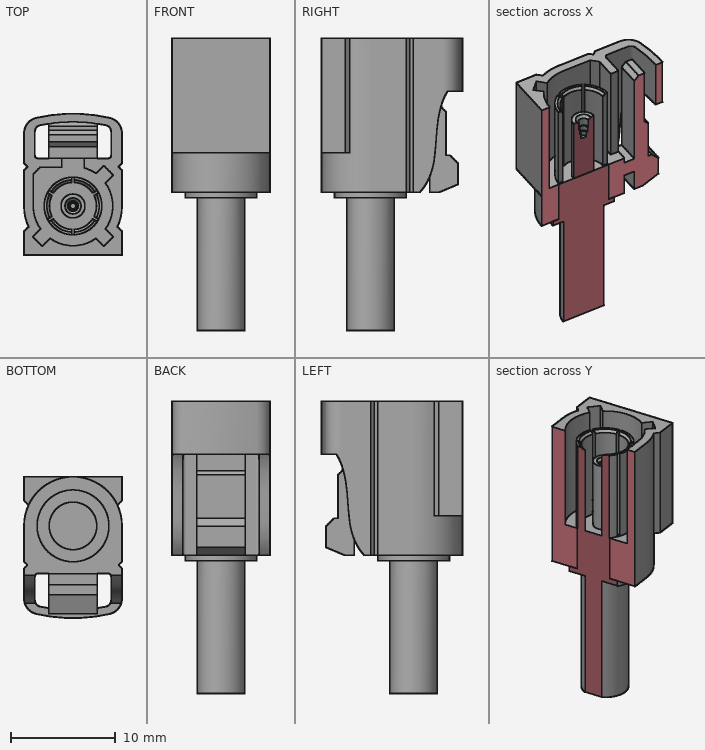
import cadquery as cq
import math


half_width = 4.7
housing_height = 14.75
rear_reach = 8.85
rear_arc_radius = 15.55
rear_corner_radius = 1.57
foot_bottom = 3.78
foot_side_notch_y = -2.0

groove_y = 3.75
groove_depth = 0.34

wall = 0.78
window_half_width = 3.65
window_front = 4.55
window_rear_fillet = 0.62
window_front_fillet = 0.28
band_bottom = 9.65
undercut_curve = [(7.4, band_bottom), (6.45, 6.9), (6.27, 4.75), (6.02, 2.63), (4.73, 0)]

latch_half_width = 2.32
latch_inner_y = 5.65
latch_outer_y = 7.25
latch_pad_y = 8.4
pad_foot_y = 6.6
pad_bottom = 0.75
pad_top = 2.77
pad_chamfer = 0.78
latch_tip_y = 6.83
latch_shoulder_z = 7.7
latch_top = 14.27
latch_tip_chamfer = 0.48
latch_bridge_bottom = 2.25
latch_bridge_top = 3.92

cavity_floor = 4.48
cavity_radius = 3.8
cavity_corner_y = 3.7
cavity_corner_chamfer = 0.65
rear_slot_half_width = 1.1
key_width = 1.3
key_reach = 4.8
key_angles = [45, 225, 315]

shell_diameter = 5.5
shell_bore = 4.5
shell_top = 13.5
shell_chamfer = 0.25
shell_floor = cavity_floor
slot_width = 0.28
slot_count = 6
first_slot_angle = 90
flange_diameter = 6.88
flange_thickness = 0.53
tube_diameter = 4.55
overall_height = 27.98
tube_bottom = housing_height - overall_height

contact_diameter = 2.3
contact_top = 11.42
funnel_mouth = 1.55
socket_steps = [(1.0, 1.12), (0.8, 1.68), (0.55, 2.25)]


def cylinder(diameter, bottom, top):
    return cq.Workplane().workplane(offset=bottom).circle(diameter / 2).extrude(top - bottom)


def box(x_range, y_range, z_range):
    """Box between the given (low, high) limits."""
    lows, highs = zip(x_range, y_range, z_range)
    sizes = [high - low for low, high in zip(lows, highs)]
    return cq.Workplane().box(*sizes, centered=False).translate(lows)


def arched_prism(half_span, front, apex, radius, fillet):
    """Full-height prism with straight sides and a rounded, outward-bowed rear."""
    corner_y = apex - radius + math.sqrt(radius**2 - half_span**2)
    return (
        cq.Workplane()
        .moveTo(-half_span, front)
        .lineTo(half_span, front)
        .lineTo(half_span, corner_y)
        .threePointArc((0, apex), (-half_span, corner_y))
        .close()
        .extrude(housing_height)
        .edges("|Z").edges(">Y").fillet(fillet)
    )


def side_profile(half_span):
    """Sketch plane whose local axes are Y and Z, at X = -half_span."""
    return cq.Workplane("YZ", origin=(-half_span, 0, 0))


def housing_envelope():
    rear = arched_prism(half_width, 0, rear_reach, rear_arc_radius, rear_corner_radius)
    round_front = cylinder(2 * half_width, 0, housing_height)

    notch_x = math.sqrt(half_width**2 - foot_side_notch_y**2)
    shoulder_y = foot_side_notch_y - (half_width - notch_x)
    foot = (
        cq.Workplane()
        .workplane(offset=foot_bottom)
        .polyline([
            (-half_width, -half_width), (half_width, -half_width),
            (half_width, shoulder_y), (notch_x, foot_side_notch_y),
            (-notch_x, foot_side_notch_y), (-half_width, shoulder_y),
        ])
        .close()
        .extrude(housing_height - foot_bottom)
    )
    return rear.union(round_front).union(foot)


def side_grooves():
    """V grooves with 45 degree flanks along both sides."""
    def groove(side):
        outer_x = side * half_width
        return (
            cq.Workplane()
            .polyline([
                (outer_x, groove_y - groove_depth),
                (outer_x - side * groove_depth, groove_y),
                (outer_x, groove_y + groove_depth),
            ])
            .close()
            .extrude(housing_height)
        )
    return groove(-1).union(groove(1))


def rear_window():
    window = arched_prism(
        window_half_width, window_front, rear_reach - wall, rear_arc_radius - wall, window_rear_fillet
    )
    return window.edges("|Z").edges("<Y").fillet(window_front_fillet)


def rear_undercut():
    """Space behind the S-curved side walls, below the rear band."""
    return (
        side_profile(half_width)
        .moveTo(*undercut_curve[0])
        .spline(undercut_curve[1:], includeCurrent=True)
        .lineTo(rear_reach, 0)
        .lineTo(rear_reach, band_bottom)
        .close()
        .extrude(2 * half_width)
    )


def latch():
    """Sprung arm with a thumb pad, joined to the housing wall by a bridge."""
    shoulder_top = latch_shoulder_z + latch_outer_y - latch_tip_y
    outline = [
        (window_front, latch_bridge_bottom),
        (latch_inner_y, latch_bridge_bottom),
        (latch_inner_y, 0),
        (pad_foot_y, 0),
        (latch_pad_y, pad_bottom),
        (latch_pad_y, pad_top),
        (latch_pad_y - pad_chamfer, pad_top + pad_chamfer),
        (latch_outer_y, pad_top + pad_chamfer),
        (latch_outer_y, latch_shoulder_z),
        (latch_tip_y, shoulder_top),
        (latch_tip_y, latch_top),
        (latch_inner_y + latch_tip_chamfer, latch_top),
        (latch_inner_y, latch_top - latch_tip_chamfer),
        (latch_inner_y, latch_bridge_top),
        (window_front, latch_bridge_top),
    ]
    return side_profile(latch_half_width).polyline(outline).close().extrude(2 * latch_half_width)


def cavity():
    depth_range = (cavity_floor, housing_height)
    bore = cylinder(2 * cavity_radius, *depth_range)
    corner = box((-cavity_radius, 0), (0, cavity_corner_y), depth_range)
    corner = corner.edges("|Z and <X and >Y").chamfer(cavity_corner_chamfer)
    rear_slot = box((-rear_slot_half_width, rear_slot_half_width), (0, window_front), depth_range)
    space = bore.union(corner).union(rear_slot)
    key = box((0, key_reach), (-key_width / 2, key_width / 2), depth_range)
    for angle in key_angles:
        space = space.union(key.rotate((0, 0, 0), (0, 0, 1), angle))
    return space


def make_housing():
    shell_hole = cylinder(shell_diameter, 0, housing_height)
    return (
        housing_envelope()
        .cut(side_grooves())
        .cut(rear_window())
        .cut(rear_undercut())
        .union(latch())
        .cut(cavity())
        .cut(shell_hole)
    )


def make_shell():
    barrel = cylinder(shell_diameter, 0, shell_top)
    barrel = barrel.cut(cylinder(shell_bore, shell_floor, shell_top))
    bore_rim = cq.selectors.RadiusNthSelector(0)
    barrel = barrel.faces(">Z").edges(bore_rim).chamfer(shell_chamfer)
    slot = box((0, shell_diameter), (-slot_width / 2, slot_width / 2), (shell_floor, shell_top))
    for index in range(slot_count):
        angle = first_slot_angle + index * 360 / slot_count
        barrel = barrel.cut(slot.rotate((0, 0, 0), (0, 0, 1), angle))
    flange = cylinder(flange_diameter, -flange_thickness, 0)
    tube = cylinder(tube_diameter, tube_bottom, -flange_thickness)
    return barrel.union(flange).union(tube)


def make_contact():
    contact = cylinder(contact_diameter, shell_floor, contact_top)
    for diameter, depth in socket_steps:
        contact = contact.cut(cylinder(diameter, contact_top - depth, contact_top))
    funnel_depth = (funnel_mouth - socket_steps[0][0]) / 2
    socket_rim = cq.selectors.RadiusNthSelector(0)
    return contact.faces(">Z").edges(socket_rim).chamfer(funnel_depth)


housing = make_housing()
shell = make_shell()
contact = make_contact()

result = cq.Compound.makeCompound([housing.val(), shell.val(), contact.val()])